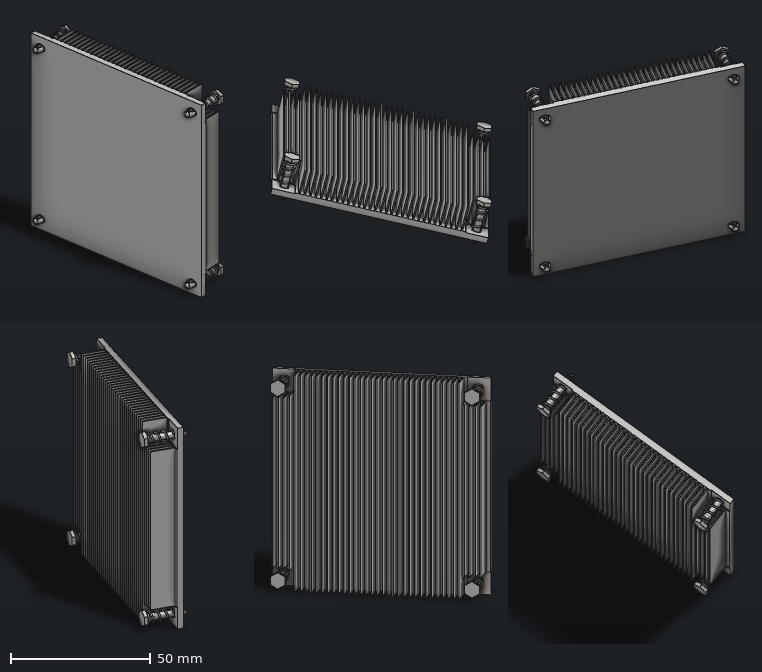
import cadquery as cq
import math

side = 80.0
base_thickness = 2.6
fin_tip = 12.0
fin_pitch = 2.0
fin_thickness = 0.5
fin_count = int(side / fin_pitch) - 1

pocket_side = 8.5
pocket_depth = 0.3
pocket_fillet = 1.6
pocket_floor = base_thickness - pocket_depth
pin_inset = 4.5
hole_diameter = 3.2

head_back = 14.5
head_thickness = 1.5
head_sides = 6
head_across_flats = 5.4
head_underside = head_back - head_thickness
shaft_radius = 1.3
neck_radius = 1.5
neck_end = 9.8
neck_taper = 0.9
stem_radius = 0.3
tip_length = 3.3
dome_length = 0.9
dome_radius = 1.2
dome_base = dome_length - tip_length
sphere_radius = (dome_radius**2 + dome_length**2) / (2 * dome_length)
dome_half_angle = math.asin(dome_radius / sphere_radius) / 2
barb_thickness = 0.6
barb_splay = 19.0

wire_radius = 0.3
coil_radius = 1.9
active_pitch = 2.8
coil_start = -0.16
active_end = 3.0
closing_turns = 1.2
steps_per_turn = 12

pin_places = [(x, z) for x in (pin_inset, side - pin_inset) for z in (pin_inset, side - pin_inset)]


def block(x_range, y_range, z_range):
    """Box spanning the given (low, high) range on each axis."""
    spans = (x_range, y_range, z_range)
    lengths = [high - low for low, high in spans]
    corner = tuple(low for low, high in spans)
    return cq.Workplane("XY").box(*lengths, centered=False).translate(corner)


def make_corner_pockets():
    """Open-ended corner cutters, rounded only at their inner corner, for all four corners."""
    cutter = block((0, pocket_side), (pocket_floor, fin_tip), (0, pocket_side))
    cutter = cutter.edges("|Y and >X and >Z").fillet(pocket_fillet)
    middle = (side / 2, 0, side / 2)
    pair = cutter.union(cutter.mirror("YZ", middle))
    return pair.union(pair.mirror("XY", middle))


def make_heat_sink():
    """Base plate with straight fins, corner pockets and pin holes."""
    sink = block((0, side), (0, base_thickness), (0, side))
    for index in range(1, fin_count + 1):
        left = index * fin_pitch - fin_thickness / 2
        sink = sink.union(block((left, left + fin_thickness), (0, fin_tip), (0, side)))
    sink = sink.cut(make_corner_pockets())
    for x, z in pin_places:
        hole = cq.Workplane("XZ", origin=(x, 0, z)).circle(hole_diameter / 2).extrude(-base_thickness)
        sink = sink.cut(hole)
    return sink


def make_barb():
    """Springy arm on the +X side: a cylinder segment splayed outward from the dome to the base."""
    arm_length = 2 * tip_length
    arm_inside = dome_radius - barb_thickness
    arm = (
        cq.Workplane("XZ", origin=(0, dome_base, 0))
        .circle(dome_radius)
        .extrude(-arm_length)
        .intersect(
            block(
                (arm_inside, dome_radius),
                (dome_base, dome_base + arm_length),
                (-dome_radius, dome_radius),
            )
        )
    )
    arm = arm.rotate((arm_inside, dome_base, 0), (arm_inside, dome_base, 1), -barb_splay)
    return arm.intersect(block((0, side), (-tip_length, 0), (-dome_radius, dome_radius)))


def make_pin():
    """Push pin on the Y axis: hexagonal head, stepped shaft, thin stem, domed tip and two barbs."""
    dome_middle = (
        sphere_radius * (1 - math.cos(dome_half_angle)) - tip_length,
        sphere_radius * math.sin(dome_half_angle),
    )
    shaft = (
        cq.Workplane("YZ")
        .moveTo(head_underside, 0)
        .lineTo(head_underside, neck_radius)
        .lineTo(neck_end, neck_radius)
        .lineTo(neck_end - neck_taper, shaft_radius)
        .lineTo(0, shaft_radius)
        .lineTo(0, stem_radius)
        .lineTo(dome_base, stem_radius)
        .lineTo(dome_base, dome_radius)
        .threePointArc(dome_middle, (-tip_length, 0))
        .close()
        .revolve(360, (0, 0, 0), (1, 0, 0))
    )
    half_hexagon_sector = math.radians(180 / head_sides)
    head_corner_diameter = head_across_flats / math.cos(half_hexagon_sector)
    head = (
        cq.Workplane("XZ", origin=(0, head_underside, 0))
        .polygon(head_sides, head_corner_diameter)
        .extrude(-head_thickness)
        .rotate((0, 0, 0), (0, 1, 0), 90)
    )
    barb = make_barb()
    return shaft.union(head).union(barb).union(barb.mirror("YZ"))


def spring_point(turn):
    """Wire centre at a position along the coil: steady pitch first, then closing up to the pin head."""
    start_height = pocket_floor + wire_radius
    active_height = start_height + active_pitch * (active_end - coil_start)
    end_height = head_underside - wire_radius
    if turn <= active_end:
        height = start_height + active_pitch * (turn - coil_start)
    else:
        height = active_height + (end_height - active_height) * (turn - active_end) / closing_turns
    angle = 2 * math.pi * turn
    return cq.Vector(coil_radius * math.sin(angle), height, coil_radius * math.cos(angle))


def make_spring():
    """Right-handed coil spring around the Y axis whose last turn closes up under the pin head."""
    turns = active_end + closing_turns - coil_start
    steps = round(turns * steps_per_turn)
    points = [spring_point(coil_start + turns * step / steps) for step in range(steps + 1)]
    path = cq.Workplane(cq.Edge.makeSpline(points))
    start_plane = cq.Plane(origin=points[0], normal=points[1] - points[0])
    return cq.Workplane(start_plane).circle(wire_radius).sweep(path, isFrenet=True)


heat_sink = make_heat_sink()
pin = make_pin()
spring = make_spring()

bodies = [heat_sink.solids().val()]
for x, z in pin_places:
    bodies.append(pin.translate((x, 0, z)).solids().val())
    bodies.append(spring.translate((x, 0, z)).val())

result = cq.Compound.makeCompound(bodies)